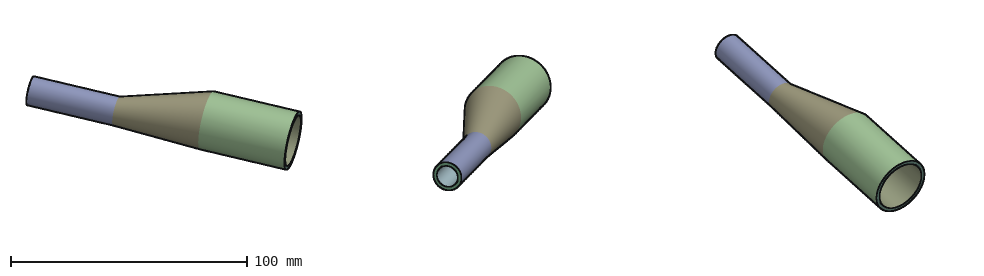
import cadquery as cq

small_outer_diameter = 12.7
large_outer_diameter = 25.4
wall_thickness = 1.65
section_length = 38.1

small_axis_y = -(large_outer_diameter - small_outer_diameter) / 2
large_axis_y = 0.0

taper_start_x = section_length
taper_end_x = taper_start_x + section_length


def circle_at(x, axis_y, diameter):
    """Circle across the X axis, centred at the given X and Y."""
    return cq.Workplane("YZ", origin=(x, axis_y, 0)).circle(diameter / 2)


def straight_section(start_x, axis_y, diameter):
    """Solid cylinder along X, one section long."""
    return circle_at(start_x, axis_y, diameter).extrude(section_length)


def taper_section(small_diameter, large_diameter):
    """Solid oblique cone joining the two offset circles with straight sides."""
    small_end = circle_at(taper_start_x, small_axis_y, small_diameter).wires().val()
    large_end = circle_at(taper_end_x, large_axis_y, large_diameter).wires().val()
    return cq.Workplane(cq.Solid.makeLoft([small_end, large_end], True))


def reducer_body(inset):
    """Solid reducer shape with its surface moved inward radially by the inset."""
    small_diameter = small_outer_diameter - 2 * inset
    large_diameter = large_outer_diameter - 2 * inset
    small_tube = straight_section(0, small_axis_y, small_diameter)
    taper = taper_section(small_diameter, large_diameter)
    large_tube = straight_section(taper_end_x, large_axis_y, large_diameter)
    return small_tube.union(taper).union(large_tube)


outer_body = reducer_body(0)
bore = reducer_body(wall_thickness)
result = outer_body.cut(bore)